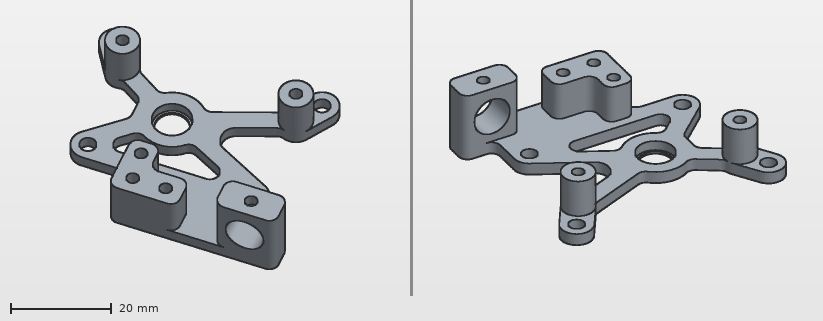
import cadquery as cq
import math


plate_thickness = 2.7
post_height = 10.95
bearing_block_height = 15.25
bearing_axis_height = 8.6
bore_lip_thickness = 0.55

hub_radius = 6.95
bore_diameter = 7.0
bearing_diameter = 8.1
web_left = -7.9
web_right = 10.6

lug_radius = 3.5
lug_hole_diameter = 3.4
screw_hole_diameter = 2.6
post_row = 8.95
upper_lug_row = 14.3
lower_lug_row = -12.05
left_post = (-14.15, post_row)
right_post = (22.85, post_row)
upper_left_lug = (-17.6, upper_lug_row)
upper_right_lug = (26.3, upper_lug_row)
lower_left_lug = (-13.15, lower_lug_row)
lower_right_lug = (21.9, lower_lug_row)
lugs = [upper_left_lug, upper_right_lug, lower_left_lug, lower_right_lug]

arm_width = 4.0
lower_right_arm_width = 3.9
lower_left_arm_angle = math.radians(42.3)
lower_right_arm_angle = math.radians(152.3)
lower_left_arm_offset = lug_radius - arm_width / 2
lower_right_arm_offset = lower_right_arm_width / 2 - lug_radius

base_left = -3.1
base_right = lower_right_lug[0] + lug_radius
base_front = -26.55
foot_depth = 6.95
foot_back = base_front + foot_depth
foot_right = 32.55
window_front = -11.55
screw_block_right = 11.55
screw_block_step = 3.05
screw_block_back = -13.5
bearing_block_left = 19.55
foot_hole_row = base_front + foot_depth / 2
screw_block_holes = [(0, -16.55), (0.8, foot_hole_row), (7.85, foot_hole_row)]
bearing_axis_x = (bearing_block_left + foot_right) / 2

small_radius = 2.0
large_radius = 3.0


def slab(points, height):
    return cq.Workplane("XY").polyline(points).close().extrude(height)


def rectangle(left, right, front, back, height):
    return slab([(left, front), (right, front), (right, back), (left, back)], height)


def cylinders(points, diameter, height):
    return cq.Workplane("XY").pushPoints(points).circle(diameter / 2).extrude(height)


def offset_point(point, angle, along, left):
    """Move a point along a direction and to the left of that direction."""
    x = point[0] + along * math.cos(angle) - left * math.sin(angle)
    y = point[1] + along * math.sin(angle) + left * math.cos(angle)
    return x, y


def distance_to_hub(start, angle):
    """Distance from start, along the direction, to the point level with the hub axis."""
    return -start[0] * math.cos(angle) - start[1] * math.sin(angle)


def strip(start, angle, length, width, offset=0.0):
    """Straight strip of plate from start, its centreline shifted to the left by offset."""
    left = offset + width / 2
    right = offset - width / 2
    corners = [(0, right), (length, right), (length, left), (0, left)]
    return slab([offset_point(start, angle, *corner) for corner in corners], plate_thickness)


def arm(start, angle, width, offset=0.0):
    """Strip that runs from start until it is level with the hub axis."""
    return strip(start, angle, distance_to_hub(start, angle), width, offset)


def angle_to_hub(start):
    return math.atan2(-start[1], -start[0])


def edge_y(x, start, angle, offset):
    """Y at which a line shifted to the left by offset crosses the given X."""
    px, py = offset_point(start, angle, 0, offset)
    return py + (x - px) * math.tan(angle)


def edge_x(y, start, angle, offset):
    """X at which a line shifted to the left by offset crosses the given Y."""
    px, py = offset_point(start, angle, 0, offset)
    return px + (y - py) / math.tan(angle)


def edge_meets_hub(start, angle, offset):
    """Point where an arm edge coming from start first meets the hub circle."""
    px, py = offset_point(start, angle, 0, offset)
    length = distance_to_hub((px, py), angle)
    miss_squared = px**2 + py**2 - length**2
    return offset_point((px, py), angle, length - math.sqrt(hub_radius**2 - miss_squared), 0)


def lug_pair(post, lug):
    """Rounded lug joining a post to the mounting hole beside it."""
    dx, dy = lug[0] - post[0], lug[1] - post[1]
    ends = cylinders([post, lug], 2 * lug_radius, plate_thickness)
    return strip(post, math.atan2(dy, dx), math.hypot(dx, dy), 2 * lug_radius).union(ends)


def fillet_corners(body, points, radius):
    """Round the upright plate edges that stand at the given points."""
    for x, y in points:
        nearest = cq.selectors.NearestToPointSelector((x, y, plate_thickness / 2))
        body = body.edges("|Z").edges(nearest).fillet(radius)
    return body


half_arm = arm_width / 2
left_post_angle = angle_to_hub(left_post)
right_post_angle = angle_to_hub(right_post)
upper_left_back = (left_post, left_post_angle, half_arm)
upper_left_front = (left_post, left_post_angle, -half_arm)
upper_right_back = (right_post, right_post_angle, -half_arm)
upper_right_front = (right_post, right_post_angle, half_arm)
lower_left_outer = (lower_left_lug, lower_left_arm_angle, lug_radius)
lower_left_inner = (lower_left_lug, lower_left_arm_angle, lug_radius - arm_width)
lower_right_outer = (lower_right_lug, lower_right_arm_angle, -lug_radius)
lower_right_inner = (lower_right_lug, lower_right_arm_angle, lower_right_arm_width - lug_radius)

web_left_back = (web_left, edge_y(web_left, *upper_left_front))
web_left_front = (web_left, edge_y(web_left, *lower_left_outer))
web_right_front = (web_right, edge_y(web_right, *lower_right_outer))
web_right_back = (web_right, edge_y(web_right, *upper_right_front))
web = slab([web_left_back, web_left_front, web_right_front, web_right_back], plate_thickness)

foot = rectangle(base_left, foot_right, base_front, foot_back, plate_thickness)
foot = foot.edges("|Z").fillet(small_radius)
base = rectangle(base_left, base_right, base_front + small_radius, lower_lug_row, plate_thickness)
bar_front = lower_lug_row - lug_radius
bar = rectangle(lower_left_lug[0], lower_right_lug[0], bar_front, window_front, plate_thickness)

hub = cylinders([(0, 0)], 2 * hub_radius, plate_thickness)
window_outline = [
    (edge_x(window_front, *lower_left_inner), window_front),
    (edge_x(window_front, *lower_right_inner), window_front),
    edge_meets_hub(*lower_right_inner),
    edge_meets_hub(*lower_left_inner),
]
window_fill = slab(window_outline, plate_thickness)
window = window_fill.cut(hub).edges("|Z").fillet(small_radius)

plate = hub.union(window_fill).union(web).union(foot).union(base).union(bar)
plate = plate.union(cylinders([lower_left_lug, lower_right_lug], 2 * lug_radius, plate_thickness))
plate = plate.union(arm(left_post, left_post_angle, arm_width))
plate = plate.union(arm(right_post, right_post_angle, arm_width))
plate = plate.union(arm(lower_left_lug, lower_left_arm_angle, arm_width, lower_left_arm_offset))
plate = plate.union(
    arm(lower_right_lug, lower_right_arm_angle, lower_right_arm_width, lower_right_arm_offset)
)
plate = plate.union(lug_pair(left_post, upper_left_lug))
plate = plate.union(lug_pair(right_post, upper_right_lug))
plate = plate.clean()

post_corner_distance = math.sqrt(lug_radius**2 - half_arm**2)
post_corners = [
    offset_point(post, angle, post_corner_distance, side * half_arm)
    for post, angle in ((left_post, left_post_angle), (right_post, right_post_angle))
    for side in (-1, 1)
]
outer_hub_corners = [edge_meets_hub(*upper_left_back), edge_meets_hub(*upper_right_back)]
plate = fillet_corners(plate, post_corners, small_radius)
plate = fillet_corners(plate, outer_hub_corners, small_radius)
plate = fillet_corners(plate, [web_left_back, web_left_front], small_radius)
plate = fillet_corners(plate, [(base_right, foot_back)], small_radius)
plate = fillet_corners(plate, [web_right_back, web_right_front], large_radius)
plate = fillet_corners(plate, [(base_left, bar_front)], large_radius)

plate = plate.cut(window)

posts = cylinders([left_post, right_post], 2 * lug_radius, post_height - plate_thickness)
posts = posts.translate((0, 0, plate_thickness))

screw_block = slab(
    [
        (base_left, base_front),
        (screw_block_right, base_front),
        (screw_block_right, foot_back),
        (screw_block_step, foot_back),
        (screw_block_step, screw_block_back),
        (base_left, screw_block_back),
    ],
    post_height,
)
screw_block = screw_block.edges("|Z").fillet(small_radius)

bearing_block = rectangle(bearing_block_left, foot_right, base_front, foot_back, bearing_block_height)
bearing_block = bearing_block.edges("|Z").fillet(small_radius)
bearing_bore = (
    cq.Workplane("XZ", origin=(bearing_axis_x, foot_back, bearing_axis_height))
    .circle(bearing_diameter / 2)
    .extrude(foot_depth)
)
clamp_hole_depth = bearing_block_height - bearing_axis_height
clamp_hole = cylinders([(bearing_axis_x, foot_hole_row)], screw_hole_diameter, clamp_hole_depth)
clamp_hole = clamp_hole.translate((0, 0, bearing_axis_height))

result = plate.union(posts).union(screw_block).union(bearing_block)

result = result.cut(bearing_bore).cut(clamp_hole)

result = result.cut(cylinders(lugs, lug_hole_diameter, plate_thickness))
screw_holes = [left_post, right_post] + screw_block_holes
result = result.cut(cylinders(screw_holes, screw_hole_diameter, post_height))

result = result.cut(cylinders([(0, 0)], bore_diameter, plate_thickness))
bearing_seat = cylinders([(0, 0)], bearing_diameter, plate_thickness - bore_lip_thickness)
result = result.cut(bearing_seat.translate((0, 0, bore_lip_thickness)))